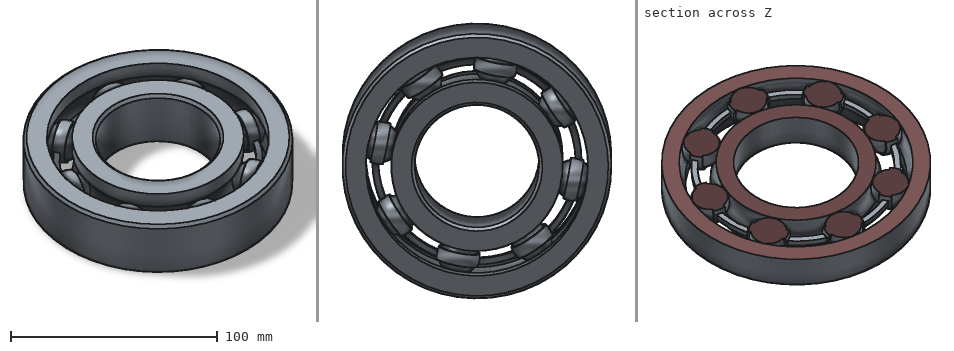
import cadquery as cq
import math

outer_diameter = 130.0
outer_ring_inner_diameter = 107.2
inner_ring_outer_diameter = 82.8
bore_diameter = 60.0
width = 31.0
rim_chamfer = 1.5
ball_count = 8
ball_radius = 9.5
collar_thickness = 1.0
collar_length = 6.2
cage_outer_radius = 50.6
cage_inner_radius = 47.6
cage_height = 3.0

pitch_radius = (outer_ring_inner_diameter + inner_ring_outer_diameter) / 4


def make_tube(outer_radius, inner_radius, height):
    """A plain tube about Z, centred on the XY plane."""
    tube = cq.Workplane("XY", origin=(0, 0, -height / 2))
    return tube.circle(outer_radius).circle(inner_radius).extrude(height)


def make_raceway():
    """The torus swept by a ball rolling around the bearing."""
    return cq.Workplane("XZ").center(pitch_radius, 0).circle(ball_radius).revolve(
        360, (-pitch_radius, 0, 0), (-pitch_radius, 1, 0)
    )


def make_outer_ring():
    """Outer ring with chamfered outer rims and a raceway in its inner face."""
    ring = make_tube(outer_diameter / 2, outer_ring_inner_diameter / 2, width)
    rims = cq.selectors.RadiusNthSelector(-1)
    return ring.edges("%CIRCLE").edges(rims).chamfer(rim_chamfer).cut(make_raceway())


def make_inner_ring():
    """Inner ring with chamfered bore rims and a raceway in its outer face."""
    ring = make_tube(inner_ring_outer_diameter / 2, bore_diameter / 2, width)
    rims = cq.selectors.RadiusNthSelector(0)
    return ring.edges("%CIRCLE").edges(rims).chamfer(rim_chamfer).cut(make_raceway())


def make_collared_ball(angle):
    """A ball on the pitch circle in a collar: a slice of a larger concentric sphere, axis radial."""
    half_collar = collar_length / 2
    collar_radius = ball_radius + collar_thickness
    collar_end_radius = math.sqrt(collar_radius**2 - half_collar**2)
    ball_radius_at_collar = math.sqrt(ball_radius**2 - half_collar**2)
    ball_radius_at_45 = ball_radius * math.sqrt(0.5)
    ball = (
        cq.Workplane("XY")
        .moveTo(-ball_radius, 0)
        .threePointArc((-ball_radius_at_45, ball_radius_at_45), (-half_collar, ball_radius_at_collar))
        .lineTo(-half_collar, collar_end_radius)
        .threePointArc((0, collar_radius), (half_collar, collar_end_radius))
        .lineTo(half_collar, ball_radius_at_collar)
        .threePointArc((ball_radius_at_45, ball_radius_at_45), (ball_radius, 0))
        .close()
        .revolve(360, (0, 0, 0), (1, 0, 0))
    )
    return ball.translate((pitch_radius, 0, 0)).rotate((0, 0, 0), (0, 0, 1), angle)


def make_cage():
    """Ball cage: a thin ring joining the collared balls into one body."""
    cage = make_tube(cage_outer_radius, cage_inner_radius, cage_height)
    for index in range(ball_count):
        cage = cage.union(make_collared_ball(index * 360 / ball_count), clean=False)
    return cage


outer_ring = make_outer_ring()
inner_ring = make_inner_ring()
cage = make_cage()

result = cq.Compound.makeCompound([outer_ring.val(), inner_ring.val(), *cage.vals()])